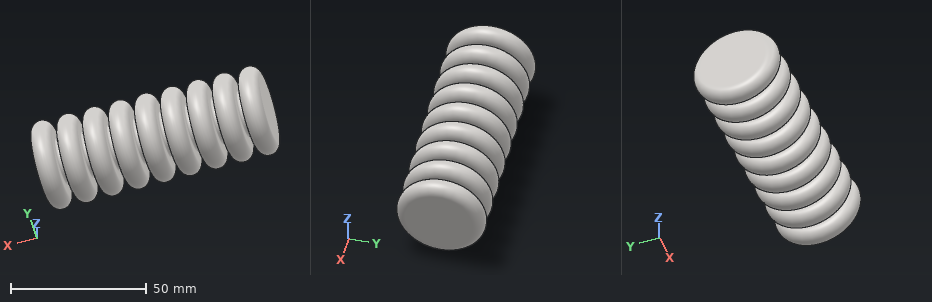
import cadquery as cq

rib_count = 9
rib_width = 8.0
rib_radius = 17.0
groove_width = 2.0
groove_root_radius = 8.0

crest_round = rib_width / 2
root_round = groove_width / 2
crest_start_radius = rib_radius - crest_round
root_start_radius = groove_root_radius + root_round

pitch = rib_width + groove_width
length = rib_count * pitch - groove_width
left_end = -length / 2
right_end = length / 2


def add_rib(outline, rib_left):
    """Climb the left flank of a rib and round over its crest."""
    return outline.lineTo(rib_left, crest_start_radius).threePointArc(
        (rib_left + rib_width / 2, rib_radius),
        (rib_left + rib_width, crest_start_radius),
    )


def add_groove(outline, groove_left):
    """Drop down the left wall of a groove and round through its bottom."""
    return outline.lineTo(groove_left, root_start_radius).threePointArc(
        (groove_left + groove_width / 2, groove_root_radius),
        (groove_left + groove_width, root_start_radius),
    )


def make_grip():
    """Revolve the half outline, drawn from the axis outwards, about X."""
    outline = cq.Workplane("XY").moveTo(left_end, 0)
    for index in range(rib_count):
        rib_left = left_end + index * pitch
        outline = add_rib(outline, rib_left)
        if index < rib_count - 1:
            outline = add_groove(outline, rib_left + rib_width)
    return outline.lineTo(right_end, 0).close().revolve(360, (0, 0, 0), (1, 0, 0))


result = make_grip()